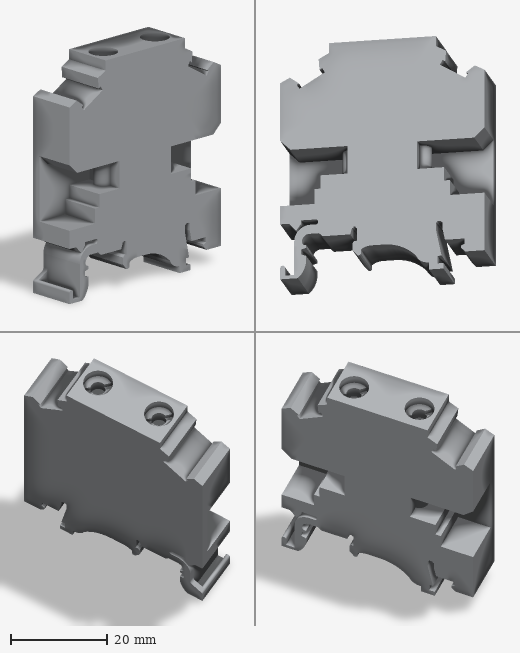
import cadquery as cq
import math

HEIGHT = 50.85
LENGTH = 43.5
WIDTH = 11.0
HALF_LENGTH = LENGTH / 2
HALF_WIDTH = WIDTH / 2

BODY_BOTTOM = 3.4
END_BOTTOM = 12.0
SEAT_HIGH = 8.8
SEAT_LOW = 6.25
ARCH_TOP = 6.1
RELIEF_TOP = 10.4
RELIEF_ROUND = 0.3

ARM_OUTER_Y = -18.75
ARM_BEND_Y = -15.3
ARM_TOP = 11.5
ARM_UNDERSIDE = 9.5
ARM_INNER_Y = -17.15
ARM_NECK_Z = 7.9
ARM_TOOTH_Y = -16.2
SLOT_TOP = 12.55
SLOT_END_Y = -13.7
FOOT_RAMP_TOP = (-19.3, 4.1)
FOOT_FILLET_TOP = 5.0
LIP_RADIUS = 0.5
LIP_SHOULDER = 2.45
RAMP_ANGLE = math.radians(30)

PRY_RIB = 1.2
PRY_FLOOR = 0.75

SCREW_X = 0.6
SCREW_Y = 7.4
HEAD_BORE_DIAMETER = 6.2
HEAD_BORE_DEPTH = 2.05
SOCKET_DIAMETER = 3.2
SOCKET_DEPTH = 2.55
DRIVER_SLOT_WIDTH = 1.3
DRIVER_SLOT_DEPTH = 1.0
DRIVER_SLOT_ANGLE = 135
SHANK_DIAMETER = 4.05

ENTRY_WALL = 2.0
ENTRY_TOP = 30.2
ENTRY_CEILING = 28.1
ENTRY_LEAD_IN = 2.2
ENTRY_FLOOR = 15.95
LOWER_STEP = (14.4, 19.2)
UPPER_STEP = (13.15, 22.1)

SHOULDER = [
    (11.4, HEIGHT),
    (11.4, 48.65),
    (13.6, 47.5),
    (13.35, 45.15),
    (12.8, 45.5),
    (12.25, 44.55),
    (17.65, 41.35),
    (18.2, 42.15),
    (17.8, 42.5),
    (19.7, 43.9),
    (HALF_LENGTH, 42.8),
]


def mirrored(points):
    return [(-y, z) for y, z in reversed(points)]


def point_on_circle(center, radius, angle):
    """Point on a circle at the given angle in degrees from +Y toward +Z."""
    turn = math.radians(angle)
    return center[0] + radius * math.cos(turn), center[1] + radius * math.sin(turn)


def add_fixed_foot(outline):
    """Underside of the +Y end: rail hook, relief slot and stiff leg."""
    relief_outer = 12.8
    relief_inner = 11.4
    leg_outer = 13.0
    leg_inner = 9.9
    return (
        outline.lineTo(HALF_LENGTH, BODY_BOTTOM)
        .lineTo(17.65, BODY_BOTTOM)
        .lineTo(16.8, 4.25)
        .lineTo(16.8, 4.8)
        .lineTo(17.5, 5.1)
        .lineTo(17.5, SEAT_LOW)
        .lineTo(13.3, SEAT_LOW)
        .lineTo(relief_outer, 8.65)
        .lineTo(relief_outer, RELIEF_TOP - RELIEF_ROUND)
        .radiusArc((relief_outer - RELIEF_ROUND, RELIEF_TOP), RELIEF_ROUND)
        .lineTo(relief_inner + RELIEF_ROUND, RELIEF_TOP)
        .radiusArc((relief_inner, RELIEF_TOP - RELIEF_ROUND), RELIEF_ROUND)
        .lineTo(relief_inner, 8.65)
        .lineTo(12.6, 2.85)
        .lineTo(11.75, 2.85)
        .lineTo(11.75, 1.2)
        .lineTo(leg_outer, 1.2)
        .lineTo(leg_outer, 0)
        .lineTo(leg_inner, 0)
        .lineTo(leg_inner, 1.6)
    )


def add_arch(outline):
    """Arch under the centre, ending in the hook and the second relief slot."""
    relief_inner = -5.45
    relief_outer = -6.45
    return (
        outline.lineTo(9.2, 1.65)
        .threePointArc((7.95, 2.2), (7.15, 3.2))
        .threePointArc((4.1, 5.35), (0.5, ARCH_TOP))
        .lineTo(-2.3, ARCH_TOP)
        .threePointArc((-3.5, 5.9), (-4.6, 5.35))
        .lineTo(-4.6, 4.35)
        .lineTo(-4.85, 4.1)
        .lineTo(-5.3, 4.1)
        .lineTo(-6.35, 5.3)
        .lineTo(-6.35, 6.85)
        .lineTo(-5.95, 7.3)
        .lineTo(relief_inner, 7.3)
        .lineTo(relief_inner, RELIEF_TOP - RELIEF_ROUND)
        .radiusArc((relief_inner - RELIEF_ROUND, RELIEF_TOP), RELIEF_ROUND)
        .lineTo(relief_outer + RELIEF_ROUND, RELIEF_TOP)
        .radiusArc((relief_outer, RELIEF_TOP - RELIEF_ROUND), RELIEF_ROUND)
        .lineTo(-6.85, SEAT_HIGH)
        .lineTo(-12.7, SEAT_HIGH)
    )


def add_spring_foot(outline):
    """Curved arm with its teeth, foot and lip, and the slot above the arm."""
    tooth_root = -17.3
    bend_radius = ARM_BEND_Y - ARM_OUTER_Y
    bend_center = (ARM_BEND_Y, ARM_TOP - bend_radius)
    lip_center = (-HALF_LENGTH + LIP_RADIUS, LIP_SHOULDER)
    ramp_normal = 90 + math.degrees(RAMP_ANGLE)
    lip_start = (-HALF_LENGTH, LIP_SHOULDER)
    ramp_end = point_on_circle(lip_center, LIP_RADIUS, ramp_normal)
    lip_middle = point_on_circle(lip_center, LIP_RADIUS, (180 + ramp_normal) / 2)
    slot_floor_start = (SLOT_END_Y - RELIEF_ROUND, ARM_TOP)
    slot_roof_start = (SLOT_END_Y - RELIEF_ROUND, SLOT_TOP)
    return (
        outline.lineTo(-13.5, ARM_UNDERSIDE)
        .lineTo(-15.75, ARM_UNDERSIDE)
        .threePointArc((-16.75, 8.95), (ARM_INNER_Y, ARM_NECK_Z))
        .threePointArc((-16.95, 7.35), (ARM_TOOTH_Y, 7.1))
        .lineTo(ARM_TOOTH_Y, 6.5)
        .lineTo(tooth_root, 6.2)
        .lineTo(tooth_root, 5.15)
        .lineTo(ARM_TOOTH_Y, 4.8)
        .lineTo(ARM_TOOTH_Y, 3.55)
        .threePointArc((-16.8, 1.6), (-18.0, 0))
        .lineTo(-HALF_LENGTH, 0)
        .lineTo(*lip_start)
        .threePointArc(lip_middle, ramp_end)
        .lineTo(*FOOT_RAMP_TOP)
        .threePointArc((-18.9, 4.5), (ARM_OUTER_Y, FOOT_FILLET_TOP))
        .lineTo(ARM_OUTER_Y, bend_center[1])
        .threePointArc(point_on_circle(bend_center, bend_radius, 135), (ARM_BEND_Y, ARM_TOP))
        .lineTo(*slot_floor_start)
        .threePointArc((SLOT_END_Y, (ARM_TOP + SLOT_TOP) / 2), slot_roof_start)
        .lineTo(-17.35, SLOT_TOP)
        .lineTo(-17.35, 11.75)
        .lineTo(-18.35, 10.35)
        .lineTo(-19.9, END_BOTTOM)
        .lineTo(-HALF_LENGTH, END_BOTTOM)
    )


def make_housing():
    top = mirrored(SHOULDER) + SHOULDER
    outline = cq.Workplane("YZ").polyline(top)
    outline = add_fixed_foot(outline)
    outline = add_arch(outline)
    outline = add_spring_foot(outline)
    return outline.close().extrude(WIDTH).translate((-HALF_WIDTH, 0, 0))


def make_pry_slot():
    """Space behind and above the round-topped lip, open at the +X side."""
    lip_back = -HALF_LENGTH + 2 * LIP_RADIUS
    lip_top = (-HALF_LENGTH + LIP_RADIUS, LIP_SHOULDER + LIP_RADIUS)
    return (
        cq.Workplane("YZ", origin=(-HALF_WIDTH + PRY_RIB, 0, 0))
        .moveTo(ARM_OUTER_Y, PRY_FLOOR)
        .lineTo(ARM_OUTER_Y, FOOT_FILLET_TOP)
        .lineTo(-HALF_LENGTH, FOOT_FILLET_TOP)
        .lineTo(-HALF_LENGTH, LIP_SHOULDER)
        .threePointArc(lip_top, (lip_back, LIP_SHOULDER))
        .lineTo(lip_back, PRY_FLOOR)
        .close()
        .extrude(WIDTH - PRY_RIB)
    )


def make_screw_recess(y):
    """Head bore with a socket and a driver slot in its floor."""
    head_level = HEIGHT - HEAD_BORE_DEPTH
    floor = cq.Workplane("XY", origin=(SCREW_X, y, head_level))
    bore = floor.circle(HEAD_BORE_DIAMETER / 2).extrude(HEAD_BORE_DEPTH)
    socket = floor.circle(SOCKET_DIAMETER / 2).extrude(-SOCKET_DEPTH)
    driver_slot = (
        floor.transformed(rotate=(0, 0, DRIVER_SLOT_ANGLE))
        .rect(HEAD_BORE_DIAMETER, DRIVER_SLOT_WIDTH)
        .extrude(-DRIVER_SLOT_DEPTH)
        .intersect(floor.circle(HEAD_BORE_DIAMETER / 2).extrude(-DRIVER_SLOT_DEPTH))
    )
    return bore.union(socket).union(driver_slot)


def make_wire_entry(side):
    """Stepped wire pocket at one end (side = 1 or -1), around half a screw shank."""
    profile = [
        (HALF_LENGTH, ENTRY_FLOOR),
        (LOWER_STEP[0], ENTRY_FLOOR),
        LOWER_STEP,
        (UPPER_STEP[0], LOWER_STEP[1]),
        UPPER_STEP,
        (SCREW_Y, UPPER_STEP[1]),
        (SCREW_Y, ENTRY_CEILING),
        (HALF_LENGTH - ENTRY_LEAD_IN, ENTRY_CEILING),
        (HALF_LENGTH, ENTRY_TOP),
    ]
    pocket = (
        cq.Workplane("YZ", origin=(-HALF_WIDTH + ENTRY_WALL, 0, 0))
        .polyline([(side * y, z) for y, z in profile])
        .close()
        .extrude(WIDTH - ENTRY_WALL)
    )
    shank = (
        cq.Workplane("XY", origin=(SCREW_X, side * SCREW_Y, UPPER_STEP[1]))
        .circle(SHANK_DIAMETER / 2)
        .extrude(ENTRY_CEILING - UPPER_STEP[1])
    )
    return pocket.cut(shank)


result = make_housing().cut(make_pry_slot())
for side in (-1, 1):
    result = result.cut(make_screw_recess(side * SCREW_Y))
    result = result.cut(make_wire_entry(side))